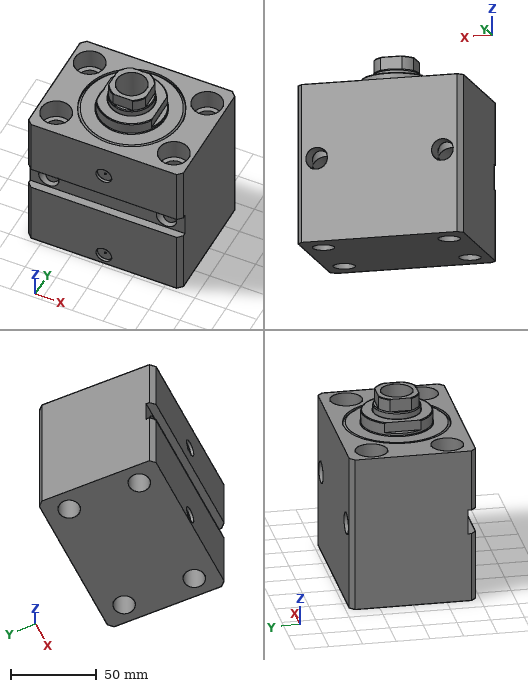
import cadquery as cq
import math

block_length = 100.0
block_width = 75.0
block_height = 95.0
corner_chamfer = 3.0
front_y = -block_width / 2

slot_height = 15.0
slot_depth = 5.0
slot_centre_z = 50.0

bolt_hole_diameter = 13.0
bolt_spacing_x = 76.0
bolt_spacing_y = 45.0
counterbore_diameter = 19.0
counterbore_depth = 13.0

port_diameter = 10.0
port_depth = 1.8
port_bore_diameter = 1.2
port_bore_depth = 5.0
lower_port_z = 7.0
upper_port_z = 73.0

gland_diameter = 63.0
gland_depth = 20.0
gland_chamfer = 1.5
collar_diameter = 42.0
collar_height = 8.0
collar_chamfer = 0.5
collar_flats_width = 36.0
collar_lip_height = 1.8
collar_base_flare = 0.5
bore_chamfer = 0.4
gland_bottom_z = block_height - gland_depth
collar_top_z = block_height + collar_height

rod_diameter = 28.0
rod_top_z = 114.9
rod_bottom_z = lower_port_z
shank_exposed_height = 12.0
head_diameter = 27.2
shoulder_chamfer_height = 0.8
head_flats_width = 24.0
head_chamfer = 0.4
rod_hole_diameter = 19.0
rod_hole_depth = 28.0
drill_point_angle = 118.0
head_bottom_z = block_height + shank_exposed_height
head_height = rod_top_z - head_bottom_z
shoulder_chamfer_width = (rod_diameter - head_diameter) / 2


def cylinder(diameter, bottom_z, top_z):
    """Cylinder on the Z axis between two heights."""
    return cq.Workplane("XY").workplane(offset=bottom_z).circle(diameter / 2).extrude(top_z - bottom_z)


def cone(bottom_radius, bottom_z, growth):
    """45 degree cone on the Z axis whose radius changes by `growth` over a height of the same size."""
    top_radius = bottom_radius + growth
    height = abs(growth)
    return cq.Workplane(cq.Solid.makeCone(bottom_radius, top_radius, height, cq.Vector(0, 0, bottom_z)))


def front_holes(points, diameter, depth):
    """Cutters drilled from the front face towards +Y at (X, Z) points."""
    front = cq.Workplane("XZ", origin=(0, front_y, 0))
    return front.pushPoints(points).circle(diameter / 2).extrude(-depth)


def make_housing():
    block = cq.Workplane("XY").box(block_length, block_width, block_height, centered=(True, True, False))
    block = block.edges("|Z").chamfer(corner_chamfer)

    slot = cq.Workplane("XY").box(block_length, 2 * slot_depth, slot_height)
    block = block.cut(slot.translate((0, front_y, slot_centre_z)))

    block = (
        block.faces(">Z")
        .workplane(origin=(0, 0, block_height))
        .rarray(bolt_spacing_x, bolt_spacing_y, 2, 2)
        .cboreHole(bolt_hole_diameter, counterbore_diameter, counterbore_depth)
    )
    cross_points = [(side * bolt_spacing_x / 2, slot_centre_z) for side in (-1, 1)]
    block = block.cut(front_holes(cross_points, bolt_hole_diameter, block_width))

    port_points = [(0, lower_port_z), (0, upper_port_z)]
    block = block.cut(front_holes(port_points, port_diameter, port_depth))
    block = block.cut(front_holes(port_points, port_bore_diameter, port_bore_depth))

    block = block.cut(cylinder(gland_diameter, gland_bottom_z, block_height))
    return block.cut(cylinder(rod_diameter, rod_bottom_z, block_height))


def make_gland():
    disc = cylinder(gland_diameter, gland_bottom_z, block_height).faces(">Z").chamfer(gland_chamfer)
    collar = cylinder(collar_diameter, block_height, collar_top_z).faces(">Z").chamfer(collar_chamfer)
    flats = cq.Workplane("XY").box(
        collar_flats_width, collar_diameter, collar_height, centered=(True, True, False)
    )
    flats = flats.translate((0, 0, block_height + collar_lip_height))
    lip = cylinder(collar_diameter, block_height, block_height + collar_lip_height)
    collar = collar.intersect(flats.union(lip))
    base = cone(collar_diameter / 2 + collar_base_flare, block_height, -collar_base_flare)
    bore = cylinder(rod_diameter, gland_bottom_z, collar_top_z)
    bore_mouth = cone(rod_diameter / 2, collar_top_z - bore_chamfer, bore_chamfer)
    return disc.union(collar).union(base).cut(bore).cut(bore_mouth)


def make_rod():
    shank = cylinder(rod_diameter, rod_bottom_z, head_bottom_z)
    shank = shank.faces(">Z").chamfer(shoulder_chamfer_height, shoulder_chamfer_width)
    head = cylinder(head_diameter, head_bottom_z, rod_top_z).faces(">Z").chamfer(head_chamfer)
    flats = cq.Workplane("XY").box(
        head_flats_width, head_flats_width, head_height, centered=(True, True, False)
    )
    head = head.intersect(flats.translate((0, 0, head_bottom_z)))

    hole_radius = rod_hole_diameter / 2
    hole_floor_z = rod_top_z - rod_hole_depth
    drill_tip_z = hole_floor_z - hole_radius / math.tan(math.radians(drill_point_angle / 2))
    hole = (
        cq.Workplane("XZ")
        .moveTo(0, rod_top_z)
        .lineTo(hole_radius, rod_top_z)
        .lineTo(hole_radius, hole_floor_z)
        .lineTo(0, drill_tip_z)
        .close()
        .revolve()
    )
    return shank.union(head).cut(hole)


housing = make_housing()
gland = make_gland()
rod = make_rod()

result = cq.Compound.makeCompound([housing.val(), gland.val(), rod.val()])